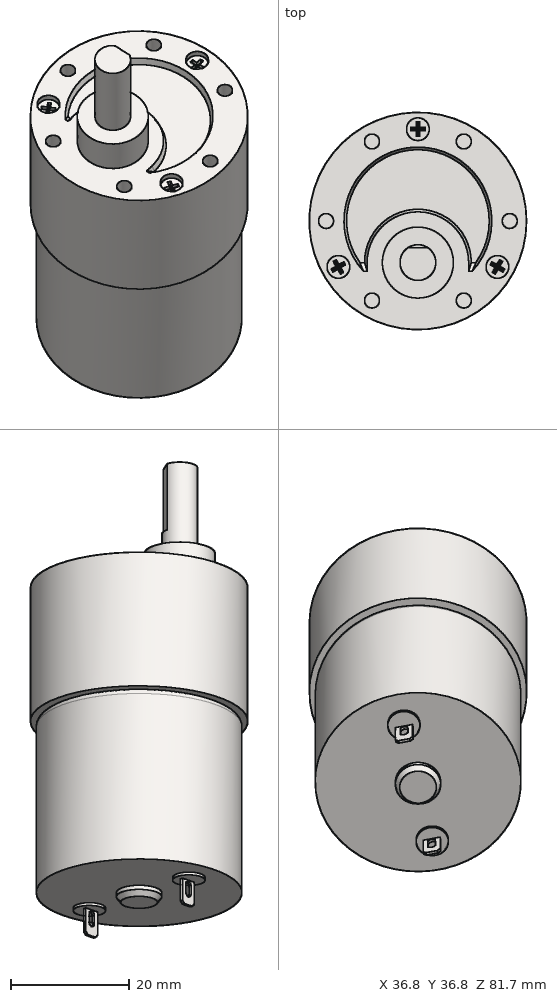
import cadquery as cq
import math

gearbox_diameter = 36.8
motor_diameter = 34.8
motor_shoulder = 1.0
gearbox_length = 23.9
bushing_diameter = 12.0
bushing_height = 6.6
shaft_diameter = 6.05
shaft_length = 15.4
shaft_offset = 7.0
flat_cut = 0.5
flat_start = 3.5
terminal_length = 5.15
short_terminal_length = 4.9
overall_length = 81.7

recess_radius = 12.5
recess_island_radius = 8.6
recess_tip = 8.5
recess_depth = 1.2
recess_draft = 20.0

bolt_circle_radius = 15.5
mount_hole_count = 6
mount_hole_diameter = 2.5
mount_hole_depth = 4.0
screw_count = 3
first_screw_angle = 90.0
screw_seat_diameter = 3.8
screw_seat_depth = 1.15
cross_span = 2.45
cross_arm_width = 0.6
cross_depth = 0.65
cross_draft = 15.0

cap_diameter = 7.7
cap_height = 1.7
cap_chamfer_width = 0.7
cap_chamfer_height = 1.0
terminal_angle = 34.7
washer_diameter = 5.5
washer_thickness = 0.5
washer_circle_radius = 11.5
blade_circle_radius = 11.2
blade_width = 2.95
blade_thickness = 0.5
blade_tip_chamfer = 0.5
slot_width = 1.3
slot_top = 0.7
slot_bottom = 3.4

face_level = overall_length - terminal_length - bushing_height - shaft_length
gearbox_base = face_level - gearbox_length
bushing_top = face_level + bushing_height


def cylinder(diameter, base, height, x=0, y=0):
    return cq.Workplane("XY", origin=(x, y, base)).circle(diameter / 2).extrude(height)


def make_housing():
    motor = cylinder(motor_diameter, 0, gearbox_base).faces(">Z").edges().fillet(motor_shoulder)
    return motor.union(cylinder(gearbox_diameter, gearbox_base, gearbox_length))


def make_shaft():
    bushing = cylinder(bushing_diameter, face_level, bushing_height, y=-shaft_offset)
    shaft = cylinder(shaft_diameter, bushing_top, shaft_length, y=-shaft_offset)
    flat_y = shaft_diameter / 2 - flat_cut - shaft_offset
    flat = (
        cq.Workplane("XY", origin=(0, flat_y, bushing_top + flat_start))
        .box(shaft_diameter, shaft_diameter, shaft_length, centered=(True, False, False))
    )
    return bushing.union(shaft.cut(flat))


def make_recess():
    """Crescent pocket with drafted walls, its tips ramping up to the face."""
    face = cq.Workplane("XY", origin=(0, 0, face_level))
    bowl = face.circle(recess_radius).extrude(-recess_depth, taper=recess_draft)
    island = (
        face.moveTo(recess_island_radius, -recess_radius)
        .lineTo(recess_island_radius, -shaft_offset)
        .threePointArc((0, recess_island_radius - shaft_offset), (-recess_island_radius, -shaft_offset))
        .lineTo(-recess_island_radius, -recess_radius)
        .close()
        .extrude(-recess_depth, taper=-recess_draft)
    )
    ramped_ends = (
        cq.Workplane("YZ", origin=(-recess_radius, 0, face_level))
        .polyline([
            (-recess_tip, 0),
            (-shaft_offset, -recess_depth),
            (recess_radius, -recess_depth),
            (recess_radius, 0),
        ])
        .close()
        .extrude(2 * recess_radius)
    )
    return bowl.cut(island).intersect(ramped_ends)


def make_mount_holes():
    return (
        cq.Workplane("XY", origin=(0, 0, face_level))
        .polarArray(bolt_circle_radius, 0, 360, mount_hole_count)
        .circle(mount_hole_diameter / 2)
        .extrude(-mount_hole_depth)
    )


def make_screw_seat(angle):
    """Round seat with a cross drive socket in its floor."""
    floor_level = face_level - screw_seat_depth
    seat = cylinder(screw_seat_diameter, floor_level, screw_seat_depth, x=bolt_circle_radius)
    floor = cq.Workplane("XY", origin=(bolt_circle_radius, 0, floor_level))
    arm = floor.rect(cross_span, cross_arm_width).extrude(-cross_depth, taper=cross_draft)
    cross_arm = floor.rect(cross_arm_width, cross_span).extrude(-cross_depth, taper=cross_draft)
    return seat.union(arm).union(cross_arm).rotate((0, 0, 0), (0, 0, 1), angle)


def make_end_cap():
    return (
        cq.Workplane("XZ")
        .lineTo(cap_diameter / 2, 0)
        .lineTo(cap_diameter / 2, cap_chamfer_height - cap_height)
        .lineTo(cap_diameter / 2 - cap_chamfer_width, -cap_height)
        .lineTo(0, -cap_height)
        .close()
        .revolve(360, (0, 0, 0), (0, 1, 0))
    )


def make_terminal(length, angle):
    """Washer and slotted solder blade, its broad face square to the radius."""
    washer = cylinder(washer_diameter, -washer_thickness, washer_thickness, x=washer_circle_radius)
    blade = (
        cq.Workplane("XY", origin=(blade_circle_radius, 0, -length))
        .box(blade_thickness, blade_width, length, centered=(True, True, False))
        .edges("|X and <Z")
        .chamfer(blade_tip_chamfer)
    )
    slot_start = blade_circle_radius - blade_thickness / 2
    slot = (
        cq.Workplane("YZ", origin=(slot_start, 0, -(slot_top + slot_bottom) / 2))
        .slot2D(slot_bottom - slot_top, slot_width, 90)
        .extrude(blade_thickness)
    )
    return washer.union(blade.cut(slot)).rotate((0, 0, 0), (0, 0, 1), angle)


result = make_housing().cut(make_recess()).cut(make_mount_holes())
for index in range(screw_count):
    result = result.cut(make_screw_seat(first_screw_angle + index * 360 / screw_count))

result = result.union(make_shaft()).union(make_end_cap())
result = result.union(make_terminal(terminal_length, terminal_angle))
result = result.union(make_terminal(short_terminal_length, terminal_angle + 180))